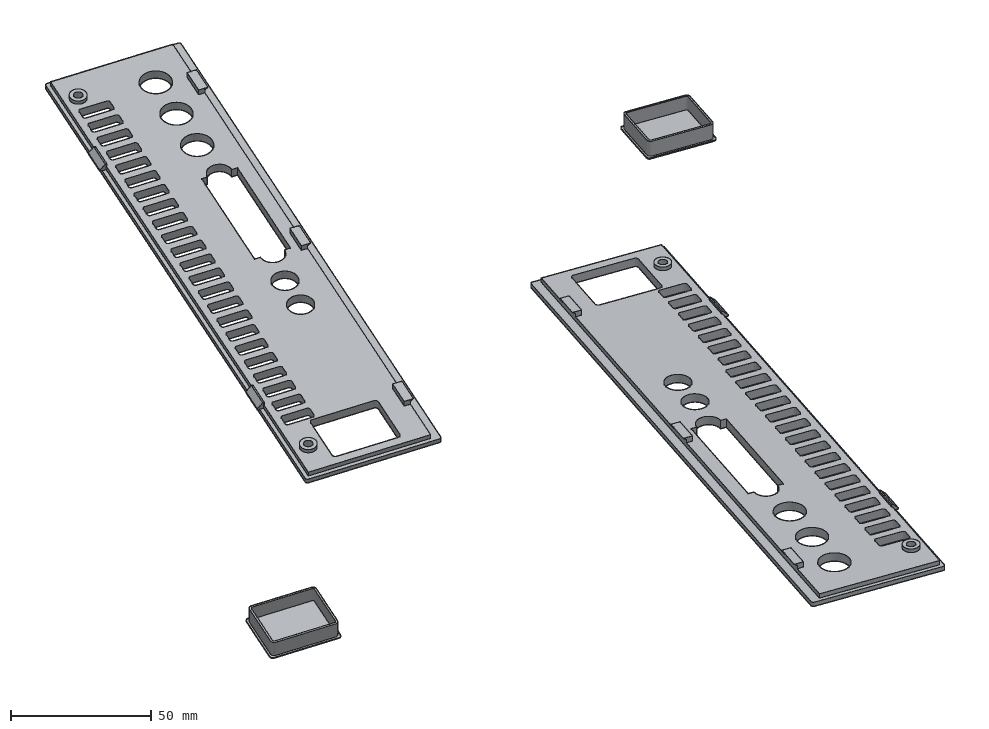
import cadquery as cq

PLATE_LENGTH = 227.0
PLATE_DEPTH = 53.0
PLATE_BOTTOM = 1.5
PLATE_CORNER_RADIUS = 1.0
RIM_THICKNESS = 1.8
STEP_THICKNESS = 1.8
STEP_INSET = 1.5
STEP_BACK_INSET = 3.7
RIM_TOP = PLATE_BOTTOM + RIM_THICKNESS
PLATE_TOP = RIM_TOP + STEP_THICKNESS
STEP_BACK = PLATE_DEPTH - STEP_BACK_INSET

BOSS_DIAMETER = 6.5
BOSS_HOLE_DIAMETER = 3.5
BOSS_HEIGHT = 1.5
BOSS_Y = 7.0
BOSS_X_POSITIONS = (13.5, 213.5)
BOSS_CENTERS = [(x, BOSS_Y) for x in BOSS_X_POSITIONS]
BOSS_TOP = PLATE_TOP + BOSS_HEIGHT

LARGE_HOLE_DIAMETER = 12.0
LARGE_HOLE_COUNT = 3
LARGE_HOLE_MARGIN = 11.3
LARGE_HOLE_FIRST_X = LARGE_HOLE_MARGIN + LARGE_HOLE_DIAMETER / 2
LARGE_HOLE_PITCH = 18.0
LARGE_HOLE_Y = 35.7
SMALL_HOLE_DIAMETER = 10.0
SMALL_HOLE_COUNT = 2
SMALL_HOLE_FIRST_X = 130.8
SMALL_HOLE_PITCH = 13.7
SMALL_HOLE_Y = 35.0

CONNECTOR_CENTER_X = 93.0
CONNECTOR_CENTER_Y = 37.0
CONNECTOR_LENGTH = 46.0
CONNECTOR_WIDTH = 14.0
EAR_DIAMETER = 9.5

WINDOW_LENGTH_X = 21.0
WINDOW_LENGTH_Y = 26.5
WINDOW_CENTER_X = 211.5
WINDOW_CENTER_Y = 26.2
WINDOW_CORNER_RADIUS = 1.2

SLOT_COUNT = 23
SHORT_SLOT_COUNT = 7
SLOT_ROW_SPAN = 176.0
SLOT_GAP = 3.0
SLOT_TO_WINDOW_GAP = 1.15
SLOT_TO_STEP_EDGE = 2.9
SLOT_LENGTH = 12.2
SHORT_SLOT_LENGTH = 11.3
SLOT_CORNER_RADIUS = 1.0
SLOT_PITCH = SLOT_ROW_SPAN / (SLOT_COUNT - 1)
SLOT_WIDTH = SLOT_PITCH - SLOT_GAP
SLOT_LAST_X = WINDOW_CENTER_X - WINDOW_LENGTH_X / 2 - SLOT_TO_WINDOW_GAP - SLOT_WIDTH / 2
SLOT_FIRST_X = SLOT_LAST_X - SLOT_ROW_SPAN
SLOT_FRONT_Y = STEP_INSET + SLOT_TO_STEP_EDGE

CLIP_LENGTH = 10.0
BACK_CLIP_COUNT = 3
BACK_CLIP_FIRST_X = 24.5
BACK_CLIP_PITCH = 89.3
BACK_CLIP_THICKNESS = 2.5
BACK_CLIP_HEIGHT = 2.23
BACK_CLIP_LIP_REACH = 1.2
BACK_CLIP_LIP_HEIGHT = 1.0
FRONT_CLIP_X_POSITIONS = (44.8, 181.7)
FRONT_CLIP_REACH = 1.0
FRONT_CLIP_BACK_Y = 1.8
FRONT_CLIP_CREST_WIDTH = 0.5
FRONT_CLIP_HEIGHT = 2.7
FRONT_CLIP_NOSE_HEIGHT = 0.5

CAP_LENGTH_X = 22.5
CAP_LENGTH_Y = 27.7
CAP_RIGHT = 304.8
CAP_FRONT = -48.8
FLANGE_THICKNESS = 1.0
FLANGE_OVERHANG = 0.75
FLANGE_CORNER_RADIUS = 1.2
FLANGE_CHAMFER = 0.5
WALL_HEIGHT = 6.5
WALL_THICKNESS = 0.8
POCKET_CORNER_RADIUS = 0.5
POCKET_FLOOR = 1.5
WALL_CORNER_RADIUS = POCKET_CORNER_RADIUS + WALL_THICKNESS
CAP_HEIGHT = FLANGE_THICKNESS + WALL_HEIGHT


def block(x_min, x_max, y_min, y_max, z_min, z_max):
    size = (x_max - x_min, y_max - y_min, z_max - z_min)
    return cq.Workplane("XY").box(*size, centered=False).translate((x_min, y_min, z_min))


def through_cutter(outline):
    """Extrude an outline from below the panel to the top of its bosses."""
    return outline.extrude(BOSS_TOP)


def rounded_opening(center, length_x, length_y, corner_radius):
    outline = cq.Workplane("XY").center(*center).rect(length_x, length_y)
    return through_cutter(outline).edges("|Z").fillet(corner_radius)


def hole_row(first_x, pitch, count, y, diameter):
    centers = [(first_x + i * pitch, y) for i in range(count)]
    return through_cutter(cq.Workplane("XY").pushPoints(centers).circle(diameter / 2))


def large_holes():
    return hole_row(
        LARGE_HOLE_FIRST_X, LARGE_HOLE_PITCH, LARGE_HOLE_COUNT, LARGE_HOLE_Y, LARGE_HOLE_DIAMETER
    )


def small_holes():
    return hole_row(
        SMALL_HOLE_FIRST_X, SMALL_HOLE_PITCH, SMALL_HOLE_COUNT, SMALL_HOLE_Y, SMALL_HOLE_DIAMETER
    )


def connector_opening():
    ears = [(-CONNECTOR_LENGTH / 2, 0), (CONNECTOR_LENGTH / 2, 0)]
    opening = through_cutter(cq.Workplane("XY").rect(CONNECTOR_LENGTH, CONNECTOR_WIDTH))
    opening = opening.union(through_cutter(cq.Workplane("XY").pushPoints(ears).circle(EAR_DIAMETER / 2)))
    return opening.translate((CONNECTOR_CENTER_X, CONNECTOR_CENTER_Y, 0))


def window():
    center = (WINDOW_CENTER_X, WINDOW_CENTER_Y)
    return rounded_opening(center, WINDOW_LENGTH_X, WINDOW_LENGTH_Y, WINDOW_CORNER_RADIUS)


def vent_slot(index):
    is_short = index >= SLOT_COUNT - SHORT_SLOT_COUNT
    length = SHORT_SLOT_LENGTH if is_short else SLOT_LENGTH
    center = (SLOT_FIRST_X + index * SLOT_PITCH, SLOT_FRONT_Y + length / 2)
    return rounded_opening(center, SLOT_WIDTH, length, SLOT_CORNER_RADIUS)


def bosses():
    base = cq.Workplane("XY").workplane(offset=RIM_TOP).pushPoints(BOSS_CENTERS)
    return base.circle(BOSS_DIAMETER / 2).extrude(BOSS_TOP - RIM_TOP)


def boss_holes():
    return through_cutter(cq.Workplane("XY").pushPoints(BOSS_CENTERS).circle(BOSS_HOLE_DIAMETER / 2))


def clip(profile, center_x):
    start_x = center_x - CLIP_LENGTH / 2
    return cq.Workplane("YZ").polyline(profile).close().extrude(CLIP_LENGTH).translate((start_x, 0, 0))


def back_clip(center_x):
    inner_y = STEP_BACK - BACK_CLIP_THICKNESS
    top = PLATE_TOP + BACK_CLIP_HEIGHT
    profile = [
        (inner_y, RIM_TOP),
        (STEP_BACK, RIM_TOP),
        (STEP_BACK, top - BACK_CLIP_LIP_HEIGHT),
        (STEP_BACK + BACK_CLIP_LIP_REACH, top),
        (inner_y, top),
    ]
    return clip(profile, center_x)


def front_clip(center_x):
    top = RIM_TOP + FRONT_CLIP_HEIGHT
    profile = [
        (FRONT_CLIP_BACK_Y, RIM_TOP),
        (FRONT_CLIP_BACK_Y, top),
        (FRONT_CLIP_BACK_Y - FRONT_CLIP_CREST_WIDTH, top),
        (-FRONT_CLIP_REACH, RIM_TOP + FRONT_CLIP_NOSE_HEIGHT),
        (-FRONT_CLIP_REACH, RIM_TOP),
    ]
    return clip(profile, center_x)


def plate():
    rim = block(0, PLATE_LENGTH, 0, PLATE_DEPTH, PLATE_BOTTOM, RIM_TOP)
    rim = rim.edges("|Z").fillet(PLATE_CORNER_RADIUS)
    step = block(STEP_INSET, PLATE_LENGTH - STEP_INSET, STEP_INSET, STEP_BACK, RIM_TOP, PLATE_TOP)
    return rim.union(step)


def make_panel():
    body = plate().union(bosses())
    for i in range(BACK_CLIP_COUNT):
        body = body.union(back_clip(BACK_CLIP_FIRST_X + i * BACK_CLIP_PITCH))
    for x in FRONT_CLIP_X_POSITIONS:
        body = body.union(front_clip(x))
    for opening in (boss_holes(), large_holes(), small_holes(), connector_opening(), window()):
        body = body.cut(opening)
    for i in range(SLOT_COUNT):
        body = body.cut(vent_slot(i))
    return body


def cap_block(inset, z_min, z_max, corner_radius):
    """A block inset evenly from the flange outline, with rounded upright edges."""
    left = CAP_RIGHT - CAP_LENGTH_X + inset
    right = CAP_RIGHT - inset
    front = CAP_FRONT + inset
    back = CAP_FRONT + CAP_LENGTH_Y - inset
    return block(left, right, front, back, z_min, z_max).edges("|Z").fillet(corner_radius)


def make_cap():
    flange = cap_block(0, 0, FLANGE_THICKNESS, FLANGE_CORNER_RADIUS)
    flange = flange.faces("<Z").edges().chamfer(FLANGE_CHAMFER)
    box = cap_block(FLANGE_OVERHANG, FLANGE_THICKNESS, CAP_HEIGHT, WALL_CORNER_RADIUS)
    pocket = cap_block(FLANGE_OVERHANG + WALL_THICKNESS, POCKET_FLOOR, CAP_HEIGHT, POCKET_CORNER_RADIUS)
    return flange.union(box).cut(pocket)


panel = make_panel()
cap = make_cap()
result = cq.Compound.makeCompound([panel.solids().val(), cap.solids().val()])